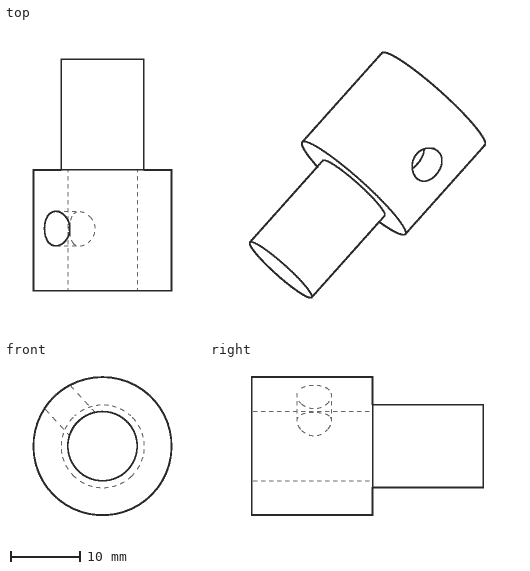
import cadquery as cq

total_length = 33.5
body_diameter = 20.0
body_length = 17.5
shank_diameter = 12.0
bore_diameter = 10.0
bore_depth = body_length

screw_hole_diameter = 5.0
screw_hole_from_face = 9.0
screw_hole_tilt = 42.5


def cylinder_along_y(diameter, start, length):
    return cq.Workplane(
        cq.Solid.makeCylinder(diameter / 2, length, cq.Vector(0, start, 0), cq.Vector(0, 1, 0))
    )


def screw_hole():
    hole = (
        cq.Workplane("XY")
        .center(0, screw_hole_from_face)
        .circle(screw_hole_diameter / 2)
        .extrude(body_diameter)
    )
    return hole.rotate((0, 0, 0), (0, 1, 0), -screw_hole_tilt)


body = cylinder_along_y(body_diameter, 0, body_length)
shank = cylinder_along_y(shank_diameter, body_length, total_length - body_length)
bore = cylinder_along_y(bore_diameter, 0, bore_depth)

result = body.union(shank).cut(bore).cut(screw_hole())